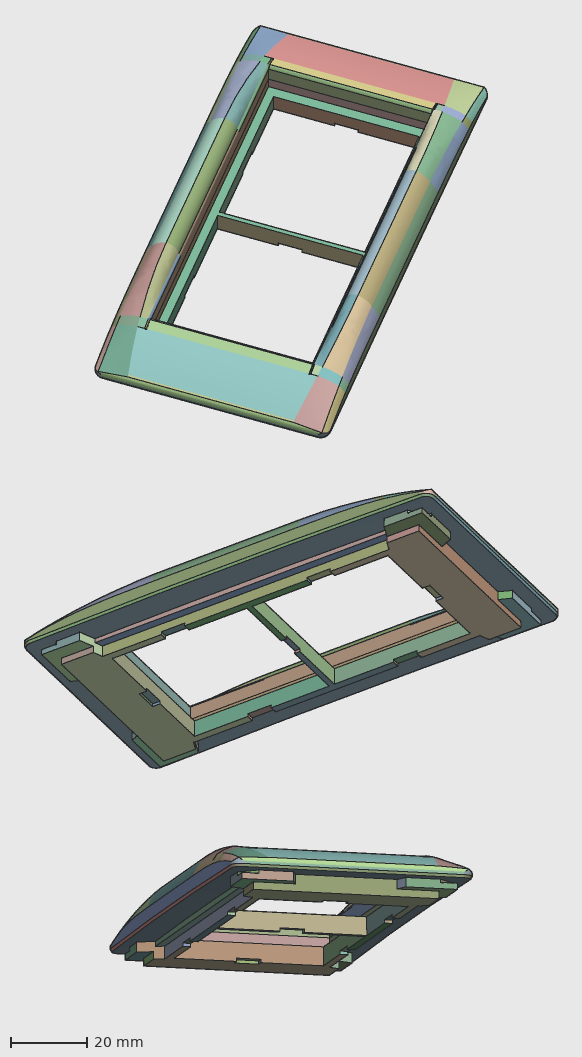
import cadquery as cq
import math

length = 126.4
width = 65.3
crest_z = 15.9
outline_radius = 2.8

level_half = 22.6
crown_radius = 96.0
end_crown_y = 61.9
end_edge_z = 5.8
end_edge_bulge = 0.17
end_bottom_z = 4.4
bottom_camber = 0.6
bottom_chamfer = 0.8
bottom_inset = 0.4

side_x = width / 2
shoulder_x = 30.6
shoulder_drop = 2.7
shoulder_flare = 0.5
shoulder_step = 0.19
wall_top_z = 9.4
wall_drop = 4.0
crest_x = 26.7
crest_inset = 1.6
shoulder_bulge = 0.05
crest_roundness = 0.6
roll_bulge = 0.18
least_bulge = 0.01
rim_bulge = 0.1
section_base_z = 3.8

opening_x = 22.6
opening_y = 45.4
rim_z = 12.9
rim_x = 23.1
rim_y = 46.4
rim_round = 0.8
lip_y = 49.2
parting_z = 8.1

core_x = 22.4
core_y = 55.2
frame_wall_x = 24.6
frame_wall_y = opening_y + frame_wall_x - opening_x
shoulder_z = 3.4
ledge_z = 5.0

foot_x = 25.1
flank_y = 44.2
flank_slope = 0.41
tab_x = 29.2
tab_y = 58.8
tab_inner_x = 13.8
tab_bottom_z = 2.0
tab_chamfer = 4.5
tab_chamfer_z = 3.7

window_x = 20.2
window_y = 42.6
divider_half = 0.6
divider_draft = 0.4
notch_height = 0.9
end_notch_width = 6.6
end_notch_depth = 2.3
side_notch_width = 7.2
side_notch_y = 22.5


def box(x0, x1, y0, y1, z0, z1):
    return cq.Workplane("XY").box(x1 - x0, y1 - y0, z1 - z0, centered=False).translate((x0, y0, z0))


def prism(points, z0, z1):
    return cq.Workplane("XY", origin=(0, 0, z0)).polyline(points).close().extrude(z1 - z0)


def both_ends(body):
    return body.union(body.mirror("XZ"))


def all_corners(body):
    pair = body.union(body.mirror("YZ"))
    return both_ends(pair)



def crown_z(y):
    run = max(abs(y) - level_half, 0)
    return crest_z - crown_radius + math.sqrt(crown_radius**2 - run**2)


def bulged(start, end, bulge):
    """Middle point of an arc that swells to the left of its chord by bulge times the chord."""
    dx, dz = end[0] - start[0], end[1] - start[1]
    return ((start[0] + end[0]) / 2 - bulge * dz, (start[1] + end[1]) / 2 + bulge * dx)


def flank_points(y):
    """Top of the side wall, shoulder and crest of the +X rail at the place y."""
    run = max(abs(y) - level_half, 0)
    fall = run / (length / 2 - level_half)
    wall_top = (side_x, wall_top_z - wall_drop * fall**3)
    shoulder = (shoulder_x + shoulder_flare * fall, crown_z(y) - shoulder_drop * (1 - fall**2) - shoulder_step)
    crest = (crest_x - crest_inset * (run / (lip_y - level_half))**2, crown_z(y))
    return wall_top, shoulder, crest


def crest_middle(crest, shoulder):
    """Middle point of the crest arc, which flattens as its drop fades; a roundness of 1 starts it level."""
    run, drop = shoulder[0] - crest[0], crest[1] - shoulder[1]
    return bulged(crest, shoulder, crest_roundness * drop / (4 * math.hypot(run, drop)))


def section_plane(y):
    return cq.Plane(origin=(0, y, 0), xDir=(1, 0, 0), normal=(0, -1, 0))


def rail_section(y):
    """Cross-section of the +X rail, rolled over into the opening."""
    wall_top, shoulder, crest = flank_points(y)
    rim = (rim_x, min(rim_z, crown_z(y)))
    wall_edge = (opening_x, rim[1] - rim_round)
    swell = least_bulge + roll_bulge * (crest[1] - rim[1]) / (crest_z - rim_z)
    return (
        cq.Workplane(section_plane(y))
        .moveTo(opening_x, section_base_z)
        .lineTo(side_x, section_base_z)
        .lineTo(*wall_top)
        .threePointArc(bulged(shoulder, wall_top, shoulder_bulge), shoulder)
        .threePointArc(crest_middle(crest, shoulder), crest)
        .threePointArc(bulged(rim, crest, swell), rim)
        .threePointArc(bulged(wall_edge, rim, rim_bulge), wall_edge)
        .close().wires().val()
    )


def end_section(y):
    """Cross-section across the whole width beyond the opening."""
    wall_top, shoulder, crest = flank_points(y)

    def left(point):
        return (-point[0], point[1])

    return (
        cq.Workplane(section_plane(y))
        .moveTo(-side_x, section_base_z)
        .lineTo(side_x, section_base_z)
        .lineTo(*wall_top)
        .threePointArc(bulged(shoulder, wall_top, shoulder_bulge), shoulder)
        .threePointArc(crest_middle(crest, shoulder), crest)
        .lineTo(*left(crest))
        .threePointArc(left(crest_middle(crest, shoulder)), left(shoulder))
        .threePointArc(left(bulged(shoulder, wall_top, shoulder_bulge)), left(wall_top))
        .close().wires().val()
    )


def loft(section, y0, y1, steps):
    wires = [section(y0 + (y1 - y0) * i / steps) for i in range(steps + 1)]
    return cq.Workplane(cq.Solid.makeLoft(wires))


def make_rails():
    level_part = loft(rail_section, -level_half, level_half, 1)
    falling_part = loft(rail_section, level_half, rim_y, 4)
    corner_part = loft(rail_section, rim_y, lip_y, 1)
    rail = level_part.union(both_ends(falling_part)).union(both_ends(corner_part))
    return rail.union(rail.mirror("YZ"))


def make_end():
    """The +Y end of the cover with the sloped lip that borders the opening."""
    lip_top = (rim_y, rim_z)
    lip_edge = (opening_y, rim_z - rim_round)
    lip_middle = bulged(lip_edge, lip_top, rim_bulge)
    lip = (
        cq.Workplane("YZ", origin=(-opening_x, 0, 0))
        .moveTo(lip_y, section_base_z)
        .lineTo(lip_y, crown_z(lip_y))
        .lineTo(*lip_top)
        .threePointArc(lip_middle, lip_edge)
        .lineTo(opening_y, section_base_z)
        .close().extrude(2 * opening_x)
    )
    return loft(end_section, lip_y, length / 2, 4).union(lip)


def make_envelope():
    """Rounded outline with rounded ends, a cambered underside and a chamfered lower edge."""
    end_y = length / 2
    tent_z = crown_z(end_crown_y)
    run = end_crown_y - level_half
    slope = run / math.sqrt(crown_radius**2 - run**2)
    ridge_z = tent_z + slope * end_crown_y
    edge_middle = bulged((end_crown_y, tent_z), (end_y, end_edge_z), end_edge_bulge)
    foot = (end_y, end_bottom_z)
    profile = (
        cq.Workplane("YZ", origin=(-side_x, 0, 0))
        .moveTo(0, ridge_z)
        .lineTo(end_crown_y, tent_z)
        .threePointArc(edge_middle, (end_y, end_edge_z))
        .lineTo(*foot)
        .threePointArc((0, end_bottom_z + bottom_camber), (-foot[0], foot[1]))
        .lineTo(-end_y, end_edge_z)
        .threePointArc((-edge_middle[0], edge_middle[1]), (-end_crown_y, tent_z))
        .close().extrude(width)
    )
    outline = cq.Workplane("XY").rect(width, length).extrude(ridge_z).edges("|Z").fillet(outline_radius)
    envelope = profile.intersect(outline)
    return envelope.faces("<Z").chamfer(bottom_chamfer, bottom_inset)


def make_cover(seated_frame):
    cover = make_rails().union(both_ends(make_end())).intersect(make_envelope())
    seat = box(-opening_x, opening_x, -opening_y, opening_y, 0, parting_z)
    return cover.cut(seated_frame).cut(seat)



def flank_at(x):
    """Place along Y of the slanted inner flank of a foot or tab."""
    return flank_y + flank_slope * (x - core_x)


def make_corner():
    """Foot and tab at the +X +Y corner."""
    foot = prism([(core_x, flank_y), (foot_x, flank_at(foot_x)), (foot_x, core_y), (core_x, core_y)], 0, ledge_z)
    tab_end_x = tab_inner_x + flank_slope * (tab_y - core_y)
    tab = prism(
        [
            (tab_inner_x, flank_y),
            (core_x, flank_y),
            (tab_x, flank_at(tab_x)),
            (tab_x, tab_y),
            (tab_end_x, tab_y),
            (tab_inner_x, core_y),
        ],
        tab_bottom_z, ledge_z,
    )
    clipped = prism(
        [(tab_x, tab_y), (tab_x - tab_chamfer, tab_y), (tab_x, tab_y - tab_chamfer)],
        tab_chamfer_z, ledge_z,
    )
    return foot.union(tab.cut(clipped))


def make_divider():
    """Bar between the windows, drafted on its -Y face."""
    return (
        cq.Workplane("YZ", origin=(-window_x, 0, 0))
        .polyline([
            (divider_half, 0),
            (divider_half, ledge_z),
            (-divider_half, ledge_z),
            (-divider_half - divider_draft, 0),
        ])
        .close().extrude(2 * window_x)
    )


def make_notches():
    """Shallow clip notches in the bottom of the frame around both windows."""
    half = end_notch_width / 2
    end_notch = box(-half, half, window_y, window_y + end_notch_depth, 0, notch_height)
    divider_notch = box(-half, half, -2 * divider_half, 2 * divider_half, 0, notch_height)
    side_start = side_notch_y - side_notch_width / 2
    side_notch = box(-core_x, core_x, side_start, side_start + side_notch_width, 0, notch_height)
    return both_ends(end_notch.union(side_notch)).union(divider_notch)


def make_frame():
    core = box(-core_x, core_x, -core_y, core_y, 0, ledge_z)
    wall = box(-frame_wall_x, frame_wall_x, -frame_wall_y, frame_wall_y, shoulder_z, parting_z)
    body = core.union(wall).union(all_corners(make_corner()))
    pocket = box(-opening_x, opening_x, -opening_y, opening_y, ledge_z, parting_z)
    window = box(-window_x, window_x, -window_y, window_y, 0, ledge_z)
    return body.cut(pocket).cut(window).union(make_divider()).cut(make_notches())


frame = make_frame()
cover = make_cover(frame)
result = cq.Compound.makeCompound([cover.solids().val(), frame.solids().val()])